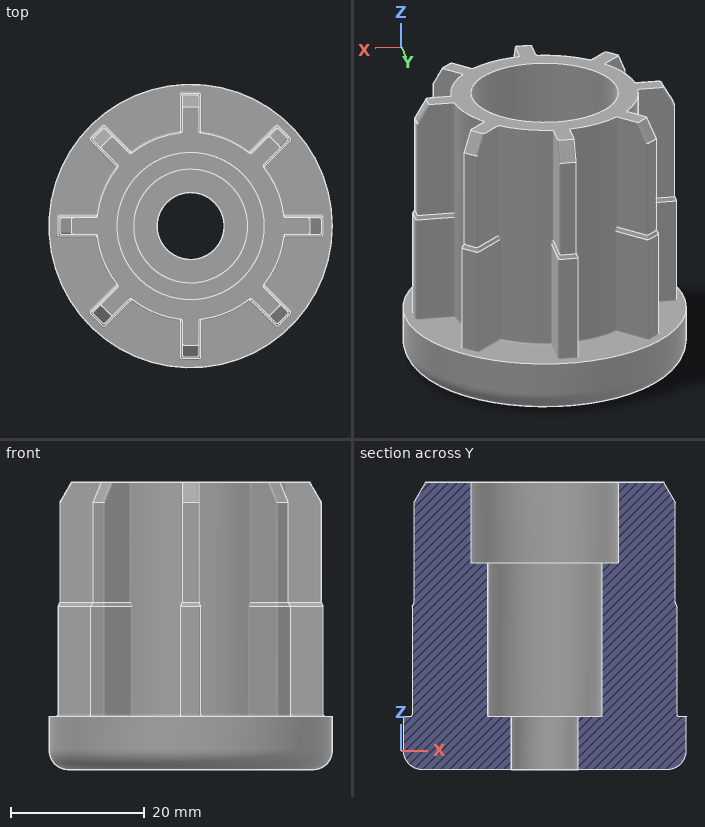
import cadquery as cq
import math

flange_radius = 21.2
flange_height = 8.0
flange_rounding = 2.92

height = 43.0
barrel_radius = 14.0
bore_radius = 11.0
bore_depth = 12.05
inner_bore_radius = 8.5
inner_bore_floor = flange_height
through_hole_radius = 5.0

rib_count = 8
rib_reach = 19.82
rib_width = 3.0
rib_step = 0.25
upper_reach = rib_reach - rib_step
upper_width = rib_width - 2 * rib_step
taper_top = 25.03
taper_height = 0.6
taper_bottom = taper_top - taper_height
tip_height = 3.0
tip_slope = 30.0
tip_inset = tip_height * math.tan(math.radians(tip_slope))
blend_radius = 0.3

rib_root = (bore_radius + barrel_radius) / 2

tolerance = 0.005


def make_flange():
    flange = cq.Workplane("XY").circle(flange_radius).extrude(flange_height)
    return flange.faces("<Z").edges().fillet(flange_rounding)


def rib_section(reach, width):
    """Rounded rectangle along +X from the barrel wall out to the rib's end face."""
    length = reach - rib_root
    center = cq.Location(cq.Vector(rib_root + length / 2, 0, 0))
    outline = cq.Sketch().rect(length, width).vertices().fillet(blend_radius)
    return outline.moved(center)


def make_rib():
    """Rib along +X with rounded outer edges and a sloped tip."""
    wide = rib_section(rib_reach, rib_width)
    narrow = rib_section(upper_reach, upper_width)
    rise = cq.Location(cq.Vector(0, 0, taper_height))

    lower_base = cq.Workplane("XY").workplane(offset=flange_height)
    lower = lower_base.placeSketch(wide).extrude(taper_bottom - flange_height)
    taper_base = cq.Workplane("XY").workplane(offset=taper_bottom)
    taper = taper_base.placeSketch(wide, narrow.moved(rise)).loft()

    upper_outline = [
        (rib_root, taper_top),
        (upper_reach, taper_top),
        (upper_reach, height - tip_height),
        (upper_reach - tip_inset, height),
        (rib_root, height),
    ]
    upper = cq.Workplane("XZ").polyline(upper_outline).close().extrude(upper_width / 2, both=True)
    end_edges = cq.selectors.BoxSelector(
        (upper_reach - tip_inset, -rib_width, taper_top),
        (rib_reach, rib_width, height),
    )
    upper = upper.edges(end_edges).edges("not |Y").edges("not |X").fillet(blend_radius)
    return lower.union(taper).union(upper)


def make_body():
    """Flange, barrel and ribs joined, before the blends and bores."""
    body = make_flange().union(cq.Workplane("XY").circle(barrel_radius).extrude(height))
    rib = make_rib()
    for index in range(rib_count):
        angle = index * 360 / rib_count
        body = body.union(rib.rotate((0, 0, 0), (0, 0, 1), angle))
    return body


def is_inside_corner(edge):
    """True where a rib meets the barrel, or where either one stands on the flange."""
    bottom = edge.BoundingBox().zmin
    top = edge.BoundingBox().zmax
    distance_from_axis = math.hypot(edge.Center().x, edge.Center().y)
    on_flange = bottom > flange_height - tolerance and top < flange_height + tolerance
    if on_flange:
        is_flange_rim = distance_from_axis < tolerance
        return not is_flange_rim
    rises_from_flange = bottom > flange_height - tolerance and top - bottom > tolerance
    return rises_from_flange and distance_from_axis < barrel_radius + tolerance


def blend_inside_corners(body):
    return body.edges().filter(is_inside_corner).fillet(blend_radius)


def cut_bore(body, radius, floor):
    """Bore along the axis, open at the top and ending at the given height."""
    bore = cq.Workplane("XY").workplane(offset=floor).circle(radius).extrude(height - floor)
    return body.cut(bore)


result = blend_inside_corners(make_body())
result = cut_bore(result, bore_radius, height - bore_depth)
result = cut_bore(result, inner_bore_radius, inner_bore_floor)
result = cut_bore(result, through_hole_radius, 0)